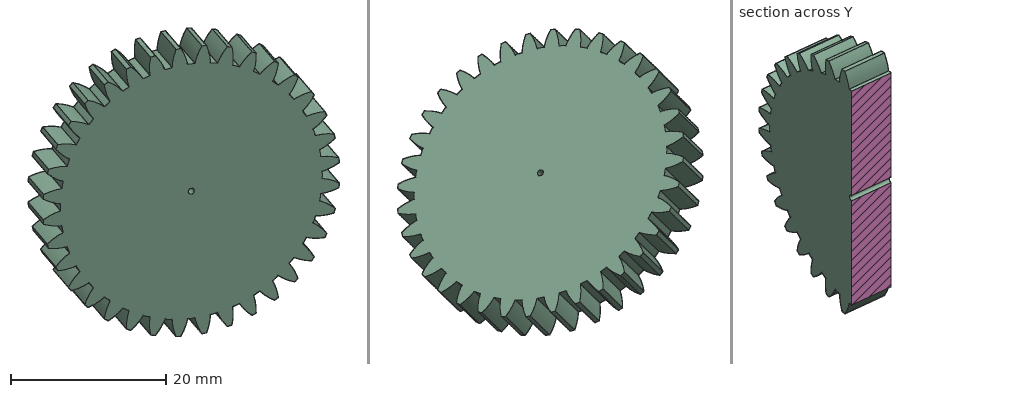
import cadquery as cq
import math

TOOTH_COUNT = 36
OVERALL_SIZE = 40.1
FACE_WIDTH = 6.35
BORE_DIAMETER = 0.8
DEDENDUM_RATIO = 1.25

TIP_THICKNESS = 0.65
PITCH_THICKNESS = 1.52
ROOT_THICKNESS = 2.13

TOOTH_PITCH = 2 * math.pi / TOOTH_COUNT
HALF_PITCH = TOOTH_PITCH / 2

tip_corner_reach = (OVERALL_SIZE / 2 - TIP_THICKNESS / 2 * math.sin(HALF_PITCH)) / math.cos(HALF_PITCH)
tip_radius = math.hypot(tip_corner_reach, TIP_THICKNESS / 2)
module = 2 * tip_radius / (TOOTH_COUNT + 2)
pitch_radius = module * TOOTH_COUNT / 2
root_radius = pitch_radius - DEDENDUM_RATIO * module


def half_angle(radius, thickness):
    """Angle from the tooth centre to its flank at the given radius."""
    return math.asin(thickness / 2 / radius)


def polar(radius, angle):
    """Point in the YZ plane, with the angle measured from +Y."""
    return (radius * math.cos(angle), radius * math.sin(angle))


def gear_outline():
    """Closed outline of all teeth, with arcs for the flanks, tips and roots."""
    root_half = half_angle(root_radius, ROOT_THICKNESS)
    pitch_half = half_angle(pitch_radius, PITCH_THICKNESS)
    tip_half = half_angle(tip_radius, TIP_THICKNESS)

    outline = cq.Workplane("YZ").moveTo(*polar(root_radius, HALF_PITCH - root_half))
    for i in range(TOOTH_COUNT):
        center = HALF_PITCH + i * TOOTH_PITCH
        gap_center = center + HALF_PITCH
        next_tooth_start = center + TOOTH_PITCH - root_half
        outline = (
            outline
            .threePointArc(polar(pitch_radius, center - pitch_half), polar(tip_radius, center - tip_half))
            .threePointArc(polar(tip_radius, center), polar(tip_radius, center + tip_half))
            .threePointArc(polar(pitch_radius, center + pitch_half), polar(root_radius, center + root_half))
            .threePointArc(polar(root_radius, gap_center), polar(root_radius, next_tooth_start))
        )
    return outline.close()


gear = gear_outline().extrude(FACE_WIDTH / 2, both=True)
bore = cq.Workplane("YZ").circle(BORE_DIAMETER / 2).extrude(FACE_WIDTH / 2, both=True)
result = gear.cut(bore)